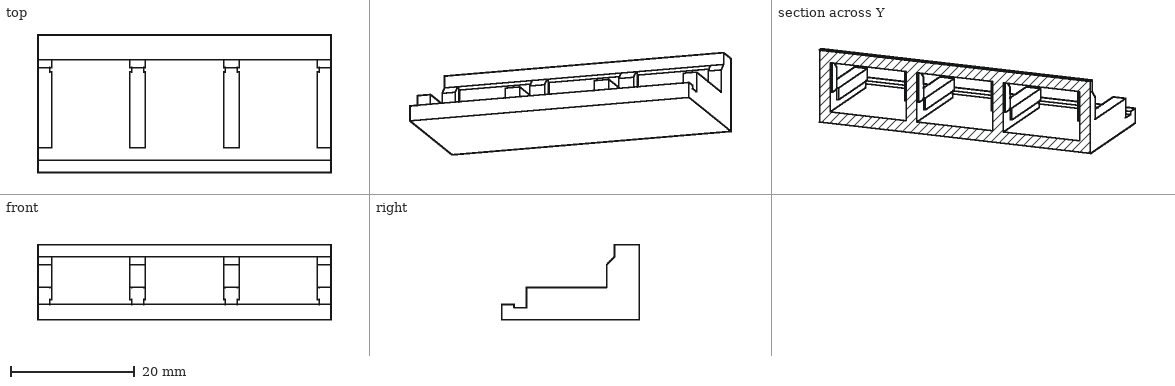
import cadquery as cq

length = 47.45
depth = 22.25
height = 12.2

floor_height = 2.0
ridge_height = 2.5
ridge_depth = 2.0

wall_thickness = 2.0
lip_depth = 4.05
lip_height = 2.0

divider_width = 1.95
divider_spacing = 15.15
column_depth = 5.25
nose_chamfer = 1.25
rib_front = 4.0
rib_height = 5.25

pad_thickness = 0.3
pad_clearance = 1.3
pad_gap = 0.7

wall_front = depth - wall_thickness
lip_front = depth - lip_depth
lip_bottom = height - lip_height
column_front = depth - column_depth
nose_top = lip_bottom
nose_bottom = nose_top - nose_chamfer


def extrude_along_x(points, x_start, x_end):
    """Extrude a closed (Y, Z) outline from x_start to x_end."""
    outline = cq.Workplane("YZ").workplane(offset=x_start).polyline(points).close()
    return outline.extrude(x_end - x_start)


def make_shell():
    """Base, ridge, back wall and lip, running the full length."""
    return extrude_along_x(
        [
            (0, 0),
            (depth, 0),
            (depth, height),
            (lip_front, height),
            (lip_front, lip_bottom),
            (wall_front, lip_bottom),
            (wall_front, floor_height),
            (ridge_depth, floor_height),
            (ridge_depth, ridge_height),
            (0, ridge_height),
        ],
        0,
        length,
    )


def make_divider(x_start, x_end):
    """Core of a divider, sunk into the base, wall and lip."""
    return extrude_along_x(
        [
            (rib_front, 0),
            (depth, 0),
            (depth, height),
            (lip_front, height),
            (lip_front, nose_top),
            (column_front, nose_bottom),
            (column_front, rib_height),
            (rib_front, rib_height),
        ],
        x_start,
        x_end,
    )


def make_pads(x_start, x_end):
    """Column pad and rib pad, spanning the core and its padded sides."""
    pad_back = wall_front - pad_clearance
    column_pad = extrude_along_x(
        [
            (column_front, rib_height),
            (pad_back, rib_height),
            (pad_back, lip_bottom),
            (lip_front, nose_top),
            (column_front, nose_bottom),
        ],
        x_start,
        x_end,
    )
    pad_bottom = floor_height + pad_clearance
    rib_pad_back = column_front - pad_gap
    rib_pad = extrude_along_x(
        [
            (rib_front, pad_bottom),
            (rib_pad_back, pad_bottom),
            (rib_pad_back, rib_height),
            (rib_front, rib_height),
        ],
        x_start,
        x_end,
    )
    return column_pad, rib_pad


first_inner_start = (length - divider_spacing - divider_width) / 2
divider_starts = [
    0,
    first_inner_start,
    first_inner_start + divider_spacing,
    length - divider_width,
]

result = make_shell()
for start in divider_starts:
    end = start + divider_width
    pad_start = max(start - pad_thickness, 0)
    pad_end = min(end + pad_thickness, length)
    result = result.union(make_divider(start, end))
    for pad in make_pads(pad_start, pad_end):
        result = result.union(pad)